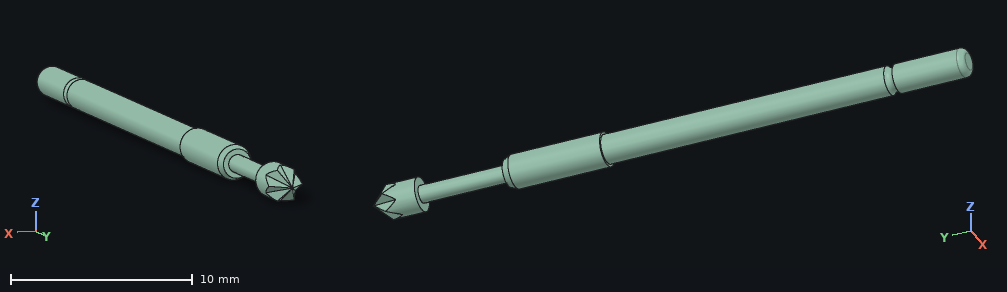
import cadquery as cq
import math

length = 36.3

head_radius = 1.0
head_length = 2.98
edge_count = 6
edge_depth = head_radius
valley_depth = 1.78

stem_radius = 0.5

sleeve_radius = 1.0
sleeve_front = length - 8.25
sleeve_back = length - 14.25
sleeve_chamfer_length = 0.45
sleeve_chamfer_width = 0.18

barrel_radius = 0.853
tail_fillet = 0.35
groove_front = 4.8
groove_width = 0.5
groove_depth = 0.15


def make_turned_body():
    """Revolve the barrel, sleeve, stem and blunt head about the Y axis."""
    groove_back = groove_front - groove_width
    groove_middle = groove_front - groove_width / 2
    groove_radius = barrel_radius - groove_depth
    head_back = length - head_length
    fillet_middle = tail_fillet * math.sqrt(0.5)
    fillet_center_radius = barrel_radius - tail_fillet
    profile = (
        cq.Workplane("XY")
        .lineTo(fillet_center_radius, 0)
        .threePointArc(
            (fillet_center_radius + fillet_middle, tail_fillet - fillet_middle),
            (barrel_radius, tail_fillet),
        )
        .lineTo(barrel_radius, groove_back)
        .threePointArc((groove_radius, groove_middle), (barrel_radius, groove_front))
        .lineTo(barrel_radius, sleeve_back)
        .lineTo(sleeve_radius, sleeve_back)
        .lineTo(sleeve_radius, sleeve_front - sleeve_chamfer_length)
        .lineTo(sleeve_radius - sleeve_chamfer_width, sleeve_front)
        .lineTo(stem_radius, sleeve_front)
        .lineTo(stem_radius, head_back)
        .lineTo(head_radius, head_back)
        .lineTo(head_radius, length)
        .lineTo(0, length)
        .close()
    )
    return profile.revolve(360, (0, 0, 0), (0, 1, 0))


def make_valley_cutter():
    """V-shaped prism in the +Z direction whose bottom line descends from the tip."""
    half_angle = math.pi / edge_count
    valley_slope = head_radius / valley_depth
    edge_slope = head_radius / edge_depth
    valley_stretch = math.hypot(1, valley_slope)

    edge_offset = edge_slope * math.sin(half_angle)
    edge_rise = (edge_slope * math.cos(half_angle) - valley_slope) / valley_stretch
    rise = 2 * head_radius
    half_width = rise * edge_offset / edge_rise

    overrun = head_radius
    cutter_length = valley_stretch * valley_depth + 2 * overrun
    along_valley = cq.Vector(0, -1, valley_slope).normalized()
    start = cq.Vector(0, length, 0) - along_valley * overrun
    plane = cq.Plane(origin=start, xDir=(1, 0, 0), normal=along_valley)
    return (
        cq.Workplane(plane)
        .polyline([(0, 0), (half_width, rise), (-half_width, rise)])
        .close()
        .extrude(cutter_length)
    )


def cut_star_point(body):
    """Cut equally spaced valleys, leaving sharp edges that meet at the tip."""
    cutter = make_valley_cutter()
    for index in range(edge_count):
        turn = index * 360 / edge_count
        body = body.cut(cutter.rotate((0, 0, 0), (0, 1, 0), turn))
    return body


result = cut_star_point(make_turned_body())